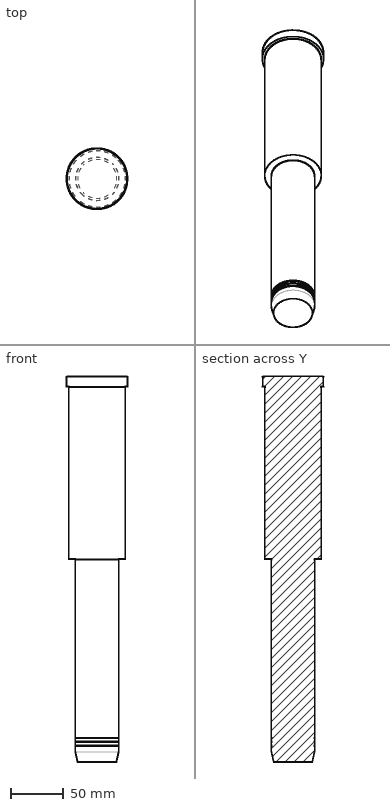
import cadquery as cq

total_length = 371.0

head_diameter = 59.0
head_height = 10.0
head_chamfer = 0.7

body_diameter = 54.5
body_bottom_z = 195.0
shank_diameter = 42.0

relief_width = 0.7
relief_depth = 0.5

tip_diameter = 37.5
tip_height = 10.0

groove_width = 0.7
groove_depth = 0.5
groove_pitch = 3.7
groove_count = 3
lowest_groove_z = 15.5


def cylinder(diameter, bottom_z, top_z):
    """Upright cylinder on the part axis."""
    base = cq.Workplane("XY").workplane(offset=bottom_z)
    return base.circle(diameter / 2).extrude(top_z - bottom_z)


def lead_in():
    """Cone that widens from the tip to the shank."""
    base = cq.Workplane("XY").circle(tip_diameter / 2)
    return base.workplane(offset=tip_height).circle(shank_diameter / 2).loft(ruled=True)


def ring_groove(surface_diameter, depth, bottom_z, width):
    """Ring to cut into a cylinder of the given diameter."""
    top_z = bottom_z + width
    outer = cylinder(head_diameter, bottom_z, top_z)
    return outer.cut(cylinder(surface_diameter - 2 * depth, bottom_z, top_z))


head_bottom_z = total_length - head_height
head = cylinder(head_diameter, head_bottom_z, total_length).faces(">Z").chamfer(head_chamfer)
body = cylinder(body_diameter, body_bottom_z, head_bottom_z)
shank = cylinder(shank_diameter, tip_height, body_bottom_z)

result = lead_in().union(shank).union(body).union(head)

for diameter, shoulder_z in ((body_diameter, head_bottom_z), (shank_diameter, body_bottom_z)):
    relief_bottom_z = shoulder_z - relief_width
    result = result.cut(ring_groove(diameter, relief_depth, relief_bottom_z, relief_width))

for index in range(groove_count):
    groove_bottom_z = lowest_groove_z + index * groove_pitch
    result = result.cut(ring_groove(shank_diameter, groove_depth, groove_bottom_z, groove_width))